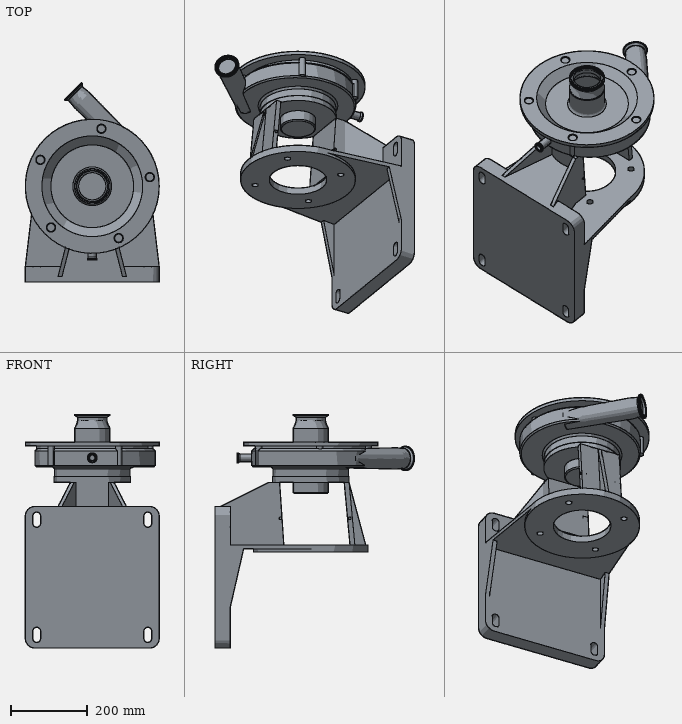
import cadquery as cq
import math


cover_radius = 175.0
cover_thickness = 10.0
inlet_height = 72.5
pipe_wall = 3.0
dish_depth = 21.5
dish_rim_radius = 131.5
dish_rim_chamfer = 2.5
dish_floor_radius = 108.0
inlet_radius = 46.25
inlet_neck_radius = 38.5
inlet_neck_length = 16.0
inlet_reducer_length = 21.0
inlet_neck_bottom = inlet_height - inlet_neck_length
inlet_reducer_bottom = inlet_neck_bottom - inlet_reducer_length
inlet_lip = 3.0
inlet_lip_cone = 5.0
inlet_foot_width = 4.25
inlet_foot_height = 10.0
inlet_foot_hollow = 0.3
inlet_reducer_bottom_slope = (-0.3, 1)
inlet_reducer_top_slope = (-0.1, 1)
inlet_bore_bottom = -42.5
inlet_groove_radius = 41.25

groove_width = 3.0
groove_depth = 1.5

casing_centre = (7.5, 3.0)
casing_radius = 157.5
casing_top = -17.0
casing_bottom = -64.5
casing_top_chamfer = 6.0
casing_bottom_chamfer = 4.0
casing_neck_radius = 146.0
port_z = -42.5

bolt_count = 5
bolt_circle_radius = 152.0
bolt_start_angle = 9.0
bolt_boss_radius = 8.5
bolt_boss_bottom = -61.5
bolt_boss_root_radius = 142.0
bolt_boss_root_half_width = 15.0
bolt_recess_radius = 12.0
bolt_recess_depth = 2.0
bolt_recess_chamfer = 1.5

outlet_angle = 135.0
outlet_offset = 140.0
outlet_face = 211.0
outlet_flange_radius = 32.0
outlet_root_radius = 25.5
outlet_shoulder_radius = 28.0
outlet_shoulder_distance = 34.0
outlet_step_radius = 27.3
outlet_step_distance = 25.5
outlet_sleeve_radius = 26.5
outlet_sleeve_distance = 18.5
outlet_neck_radius = 26.0
outlet_neck_distance = 8.0
outlet_neck_end = 11.0
outlet_lip = 3.0
outlet_bore_radius = 23.5
outlet_bore_depth = 7.0
outlet_groove_radius = 28.0

drain_root = 100.0
drain_face = 192.0
drain_radius = 10.5
drain_flange_radius = 13.0
drain_flange_thickness = 7.0
drain_lip = 3.0
drain_bore_radius = 7.0
drain_bore_depth = 20.0
drain_groove_radius = 10.25
drain_z = -41.0

hub_radius = 99.0
hub_top_radius = 104.0
hub_cone_bottom = -70.0
hub_split = -90.0
bracket_ring_radius = 100.0
hub_bottom = -105.0
seal_radius = 46.25
seal_bottom = -134.0
seal_chamfer = 3.0

base_top = -268.0
base_thickness = 19.0
base_ring_radius = 150.0
base_bore_radius = 75.0
base_hole_radius = 8.0
base_hole_circle_radius = 115.0
base_hole_count = 4
shelf_thickness = 11.0

plate_width = 350.0
plate_height = 370.5
plate_thickness = 40.0
plate_front = -250.0
plate_top = -167.5
plate_corner_radius = 26.0
slot_width = 20.0
slot_length = 39.0
slot_half_spacing = 145.0
slot_edge_distance = 35.0

window_top = (-81.0, 87.0)
window_bottom = (-70.0, 102.0)
rear_wall_thickness = 13.0
guard_hole_radius = 3.5
guard_hole_depth = 15.0
guard_hole_z = -199.0
guard_hole_y = (-79.0, 102.0)

rib_thickness = 10.0
rib_start = (52.0, -110.0)
rib_end = (84.0, -235.0)
rib_run = (rib_end[0] - rib_start[0], rib_end[1] - rib_start[1])
rib_half_width_x = rib_thickness / 2 * math.hypot(*rib_run) / -rib_run[1]
column_half_width = rib_start[0] + rib_half_width_x
rear_rib_reach = 143.5
gusset_depth = 35.0
gusset_bottom = -432.0
gusset_thickness = 12.0

plate_back = plate_front + plate_thickness
plate_bottom = plate_top - plate_height


def revolve_profile(points):
    """Turn a closed (radius, height) outline about the Z axis."""
    outline = cq.Workplane("XZ").polyline(points).close()
    return outline.revolve(360, (0, 0, 0), (0, 1, 0))


def disc(radius, bottom, top, centre=(0.0, 0.0)):
    return cq.Workplane("XY", origin=(*centre, bottom)).circle(radius).extrude(top - bottom)


def place_sideways(body, angle):
    """Lay a body built along +Z so that +Z points at the given angle in the XY plane."""
    return body.rotate((0, 0, 0), (0, 1, 0), 90).rotate((0, 0, 0), (0, 0, 1), angle)


def flange_groove(radius, face):
    """Ring-shaped cutter that sinks a gasket groove into a flange face."""
    outer = disc(radius + groove_width / 2, face - groove_depth, face)
    return outer.cut(disc(radius - groove_width / 2, face - groove_depth, face))


def make_casing():
    neck = disc(casing_neck_radius, casing_top, -cover_thickness)
    body = disc(casing_radius, casing_bottom, casing_top, casing_centre)
    body = body.faces(">Z").chamfer(casing_top_chamfer)
    body = body.faces("<Z").chamfer(casing_bottom_chamfer)
    return neck.union(body)


def make_cover():
    return disc(cover_radius, -cover_thickness, 0)


def cut_dish(body):
    dish = revolve_profile([
        (0, 0),
        (dish_rim_radius, 0),
        (dish_rim_radius - dish_rim_chamfer, -dish_rim_chamfer),
        (dish_floor_radius, -dish_depth),
        (0, -dish_depth),
    ])
    return body.cut(dish)


def make_inlet():
    lip_bottom = inlet_height - inlet_lip
    slopes = [inlet_reducer_bottom_slope, inlet_reducer_top_slope]
    foot_top = inlet_foot_height - dish_depth
    foot_middle = (
        inlet_radius + inlet_foot_width * inlet_foot_hollow,
        foot_top - inlet_foot_height * (1 - inlet_foot_hollow),
    )
    return (
        cq.Workplane("XZ")
        .moveTo(0, -dish_depth)
        .lineTo(inlet_radius + inlet_foot_width, -dish_depth)
        .threePointArc(foot_middle, (inlet_radius, foot_top))
        .lineTo(inlet_radius, inlet_reducer_bottom)
        .spline([(inlet_neck_radius, inlet_neck_bottom)], tangents=slopes, includeCurrent=True)
        .lineTo(inlet_neck_radius, lip_bottom - inlet_lip_cone)
        .lineTo(inlet_radius, lip_bottom)
        .lineTo(inlet_radius, inlet_height)
        .lineTo(0, inlet_height)
        .close()
        .revolve(360, (0, 0, 0), (0, 1, 0))
    )


def make_inlet_bore():
    bore = revolve_profile([
        (0, inlet_height),
        (inlet_neck_radius - pipe_wall, inlet_height),
        (inlet_neck_radius - pipe_wall, inlet_neck_bottom),
        (inlet_radius - pipe_wall, inlet_reducer_bottom),
        (inlet_radius - pipe_wall, inlet_bore_bottom),
        (0, inlet_bore_bottom),
    ])
    return bore.union(flange_groove(inlet_groove_radius, inlet_height))


def bolt_angles():
    return [bolt_start_angle + 360 / bolt_count * i for i in range(bolt_count)]


def make_bolt_bosses():
    """Round bosses at the bolts, each with a web that flares out into the casing wall."""
    column = disc(bolt_boss_radius, bolt_boss_bottom, -cover_thickness, (bolt_circle_radius, 0))
    web = (
        cq.Workplane("XY", origin=(0, 0, bolt_boss_bottom))
        .polyline([
            (bolt_boss_root_radius, -bolt_boss_root_half_width),
            (bolt_circle_radius, -bolt_boss_radius),
            (bolt_circle_radius, bolt_boss_radius),
            (bolt_boss_root_radius, bolt_boss_root_half_width),
        ])
        .close()
        .extrude(casing_top - casing_top_chamfer - bolt_boss_bottom)
    )
    boss = column.union(web)
    bosses = cq.Workplane("XY")
    for angle in bolt_angles():
        bosses = bosses.add(boss.rotate((0, 0, 0), (0, 0, 1), angle))
    return bosses.combine()


def cut_bolt_recesses(body):
    recess = revolve_profile([
        (0, 0),
        (bolt_recess_radius, 0),
        (bolt_recess_radius - bolt_recess_chamfer, -bolt_recess_depth),
        (0, -bolt_recess_depth),
    ]).translate((bolt_circle_radius, 0, 0))
    for angle in bolt_angles():
        body = body.cut(recess.rotate((0, 0, 0), (0, 0, 1), angle))
    return body


def place_outlet(body):
    offset_angle = math.radians(outlet_angle - 90)
    offset = (
        outlet_offset * math.cos(offset_angle),
        outlet_offset * math.sin(offset_angle),
        port_z,
    )
    return place_sideways(body, outlet_angle).translate(offset)


def make_outlet():
    return place_outlet(revolve_profile([
        (0, 0),
        (outlet_root_radius, 0),
        (outlet_shoulder_radius, outlet_face - outlet_shoulder_distance),
        (outlet_step_radius, outlet_face - outlet_step_distance),
        (outlet_sleeve_radius, outlet_face - outlet_sleeve_distance),
        (outlet_neck_radius, outlet_face - outlet_neck_end),
        (outlet_neck_radius, outlet_face - outlet_neck_distance),
        (outlet_flange_radius, outlet_face - outlet_lip),
        (outlet_flange_radius, outlet_face),
        (0, outlet_face),
    ]))


def make_outlet_bore():
    bore = disc(outlet_bore_radius, outlet_face - outlet_bore_depth, outlet_face)
    return place_outlet(bore.union(flange_groove(outlet_groove_radius, outlet_face)))


def make_drain():
    pipe = revolve_profile([
        (0, drain_root),
        (drain_radius, drain_root),
        (drain_radius, drain_face - drain_flange_thickness),
        (drain_flange_radius, drain_face - drain_lip),
        (drain_flange_radius, drain_face),
        (0, drain_face),
    ])
    return place_sideways(pipe, -90).translate((0, 0, drain_z))


def make_drain_bore():
    bore = disc(drain_bore_radius, drain_face - drain_bore_depth, drain_face)
    bore = bore.union(flange_groove(drain_groove_radius, drain_face))
    return place_sideways(bore, -90).translate((0, 0, drain_z))


def make_hub():
    return revolve_profile([
        (0, casing_bottom),
        (hub_top_radius, casing_bottom),
        (hub_radius, hub_cone_bottom),
        (hub_radius, hub_split),
        (bracket_ring_radius, hub_split),
        (bracket_ring_radius, hub_bottom),
        (0, hub_bottom),
    ])


def make_seal_housing():
    return disc(seal_radius, seal_bottom, hub_bottom).faces("<Z").chamfer(seal_chamfer)


def shelf_corner(y):
    """Half width of the tapered shelf at a given Y."""
    taper = (plate_width / 2 - base_ring_radius) / -plate_back
    return base_ring_radius - taper * y


def make_base():
    ring = disc(base_ring_radius, base_top - base_thickness, base_top)
    shelf_half = shelf_corner(plate_back)
    shelf = (
        cq.Workplane("XY", origin=(0, 0, base_top - shelf_thickness))
        .polyline([
            (-base_ring_radius, 0),
            (base_ring_radius, 0),
            (shelf_half, plate_back),
            (-shelf_half, plate_back),
        ])
        .close()
        .extrude(shelf_thickness)
    )
    holes = (
        cq.Workplane("XY", origin=(0, 0, base_top - base_thickness))
        .polarArray(base_hole_circle_radius, 180 / base_hole_count, 360, base_hole_count)
        .circle(base_hole_radius)
        .extrude(base_thickness)
    )
    bore = disc(base_bore_radius, base_top - base_thickness, base_top)
    return ring.union(shelf).cut(bore).cut(holes)


def make_mounting_plate():
    centre_z = (plate_top + plate_bottom) / 2
    slot_half_height = plate_height / 2 - slot_edge_distance
    slots = [(x, z) for x in (-slot_half_spacing, slot_half_spacing)
             for z in (-slot_half_height, slot_half_height)]
    plate = cq.Workplane("XZ", origin=(0, plate_back, centre_z)).rect(plate_width, plate_height)
    plate = plate.extrude(plate_thickness).edges("|Y").fillet(plate_corner_radius)
    slot_cutter = (
        cq.Workplane("XZ", origin=(0, plate_back, centre_z))
        .pushPoints(slots)
        .slot2D(slot_length, slot_width, 90)
        .extrude(plate_thickness)
    )
    return plate.cut(slot_cutter)


def side_prism(points, half_width):
    """Extrude a (Y, Z) outline symmetrically about X = 0."""
    return cq.Workplane("YZ").polyline(points).close().extrude(half_width, both=True)


def make_front_column():
    """Wall between hub and base, rounded outside to the bracket ring radius."""
    block = side_prism([
        (window_top[0], hub_bottom),
        (window_bottom[0], base_top),
        (-bracket_ring_radius, base_top),
        (-bracket_ring_radius, hub_bottom),
    ], column_half_width)
    return block.intersect(disc(bracket_ring_radius, base_top, hub_bottom))


def make_rear_wall():
    wall = side_prism([
        (window_top[1], hub_bottom),
        (window_bottom[1], base_top),
        (window_bottom[1] + rear_wall_thickness, base_top),
        (window_top[1] + rear_wall_thickness, hub_bottom),
    ], column_half_width)
    rib = side_prism([
        (window_top[1], hub_bottom),
        (window_bottom[1], base_top),
        (rear_rib_reach, base_top),
        (bracket_ring_radius, hub_bottom),
    ], rib_thickness / 2)
    return wall.union(rib)


def rib_centre_x(y):
    """Distance of a front rib's centre line from X = 0 at a given Y."""
    return rib_start[0] + rib_run[0] * (y - rib_start[1]) / rib_run[1]


def make_front_block():
    """Fill between the front ribs, level with the top of the mounting plate."""
    root_y = window_top[0]
    root_x = rib_centre_x(root_y)
    end_x = rib_centre_x(plate_back)
    return (
        cq.Workplane("XY", origin=(0, 0, base_top))
        .polyline([(-root_x, root_y), (root_x, root_y), (end_x, plate_back), (-end_x, plate_back)])
        .close()
        .extrude(plate_top - base_top)
    )


def make_front_rib(side):
    """Splayed rib from the front column to the mounting plate; side is +1 or -1 in X."""
    root_y = window_top[0]
    root_x = rib_centre_x(root_y)
    plan = [
        (side * (root_x - rib_half_width_x), root_y),
        (side * column_half_width, root_y),
        (side * column_half_width, rib_start[1]),
        (side * (rib_end[0] + rib_half_width_x), rib_end[1]),
        (side * (rib_end[0] - rib_half_width_x), rib_end[1]),
    ]
    body = cq.Workplane("XY", origin=(0, 0, base_top)).polyline(plan).close()
    body = body.extrude(hub_bottom - base_top)
    profile = side_prism([
        (window_top[0], hub_bottom),
        (rib_start[1], hub_bottom),
        (rib_end[1], plate_top),
        (rib_end[1], base_top),
        (window_bottom[0], base_top),
    ], plate_width / 2)
    return body.intersect(profile)


def make_gusset(side):
    """Triangular web under one tapered edge of the shelf."""
    shelf_bottom = base_top - shelf_thickness
    front_y = plate_back + gusset_depth
    web = side_prism([
        (front_y, shelf_bottom),
        (plate_back, shelf_bottom),
        (plate_back, gusset_bottom),
    ], plate_width / 2)
    strip = (
        cq.Workplane("XY", origin=(0, 0, gusset_bottom))
        .polyline([
            (side * shelf_corner(front_y), front_y),
            (side * shelf_corner(plate_back), plate_back),
            (side * (shelf_corner(plate_back) - gusset_thickness), plate_back),
            (side * (shelf_corner(front_y) - gusset_thickness), front_y),
        ])
        .close()
        .extrude(shelf_bottom - gusset_bottom)
    )
    return web.intersect(strip)


def make_guard_holes():
    """Blind holes in both side faces of the column and of the rear wall."""
    holes = cq.Workplane("XY")
    for x in (-column_half_width, column_half_width - guard_hole_depth):
        row = cq.Workplane("YZ", origin=(x, 0, 0)).pushPoints([(y, guard_hole_z) for y in guard_hole_y])
        holes = holes.add(row.circle(guard_hole_radius).extrude(guard_hole_depth))
    return holes.combine()


def make_bracket():
    bracket = make_base().union(make_mounting_plate())
    bracket = bracket.union(make_front_column()).union(make_front_block()).union(make_rear_wall())
    for side in (-1, 1):
        bracket = bracket.union(make_front_rib(side)).union(make_gusset(side))
    return bracket.cut(make_guard_holes())


def make_pump():
    pump = make_casing().union(make_cover()).union(make_bolt_bosses()).union(make_outlet())
    pump = cut_dish(pump).union(make_inlet()).union(make_drain())
    pump = pump.union(make_hub()).union(make_seal_housing())
    pump = cut_bolt_recesses(pump)
    return pump.cut(make_inlet_bore()).cut(make_outlet_bore()).cut(make_drain_bore())


result = make_pump().union(make_bracket())